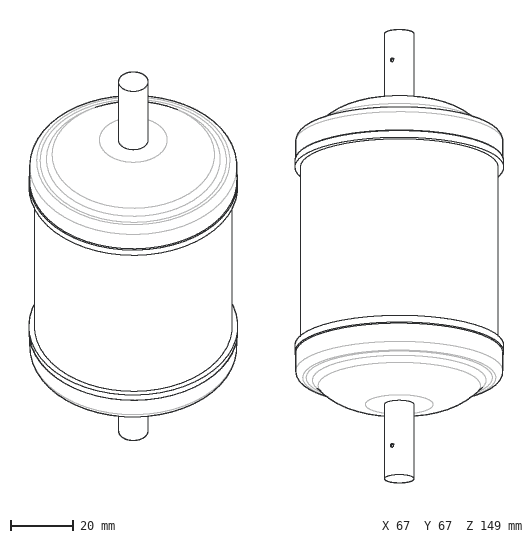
import cadquery as cq
import math

total_length = 149.0
shaft_radius = 4.8
body_radius = 31.7

cap_inner_z = 29.8
rim_radius = 33.5
rim_height = 2.2
rim_bevel = 0.3
band_radius = rim_radius - rim_bevel
shoulder_z = 40.7
shoulder_round = 2.2
crown_z = 49.6
crown_radius = 10.9
dome_round = 21.5
flare_round = 2.8
dome_slope = math.radians(45)

dimple_diameter = 1.2
dimple_depth = 0.7
dimple_from_end = 10.0


def arc_point(center, radius, angle):
    """Point of a circle in the (radius, height) plane."""
    return (center[0] + radius * math.cos(angle), center[1] + radius * math.sin(angle))


def make_end_cap():
    """Revolved upper cap, solid from its flat inner face out to the crown."""
    dome_center = (crown_radius, crown_z - dome_round)
    dome_end_angle = math.pi / 2 - dome_slope
    dome_end = arc_point(dome_center, dome_round, dome_end_angle)
    dome_middle = arc_point(dome_center, dome_round, (math.pi / 2 + dome_end_angle) / 2)

    flare_start_z = shoulder_z + flare_round * (1 - math.cos(dome_slope))
    flare_start_r = dome_end[0] + (dome_end[1] - flare_start_z) / math.tan(dome_slope)
    flare_center = (flare_start_r + flare_round * math.sin(dome_slope), shoulder_z + flare_round)
    flare_middle = arc_point(flare_center, flare_round, -math.pi / 2 - dome_slope / 2)

    round_center = (band_radius - shoulder_round, shoulder_z - shoulder_round)
    round_middle = arc_point(round_center, shoulder_round, math.pi / 4)

    rim_top = cap_inner_z + rim_height
    profile = (
        cq.Workplane("XZ")
        .moveTo(0, cap_inner_z)
        .lineTo(0, crown_z)
        .lineTo(crown_radius, crown_z)
        .threePointArc(dome_middle, dome_end)
        .lineTo(flare_start_r, flare_start_z)
        .threePointArc(flare_middle, (flare_center[0], shoulder_z))
        .lineTo(round_center[0], shoulder_z)
        .threePointArc(round_middle, (band_radius, round_center[1]))
        .lineTo(band_radius, rim_top + rim_bevel)
        .lineTo(rim_radius, rim_top)
        .lineTo(rim_radius, cap_inner_z)
        .close()
    )
    return profile.revolve(360, (0, 0, 0), (0, 1, 0))


def make_dimple(z):
    """Cutter running along X into the -X side of the shaft."""
    return (
        cq.Workplane("YZ", origin=(-shaft_radius, 0, z))
        .circle(dimple_diameter / 2)
        .extrude(dimple_depth, both=True)
    )


def make_cylinder(radius, length):
    """Upright cylinder centred on the origin."""
    return cq.Workplane("XY").circle(radius).extrude(length).translate((0, 0, -length / 2))


upper_cap = make_end_cap()
body = make_cylinder(body_radius, 2 * cap_inner_z)
shaft = make_cylinder(shaft_radius, total_length)
result = body.union(upper_cap).union(upper_cap.mirror("XY")).union(shaft)

for side in (1, -1):
    result = result.cut(make_dimple(side * (total_length / 2 - dimple_from_end)))